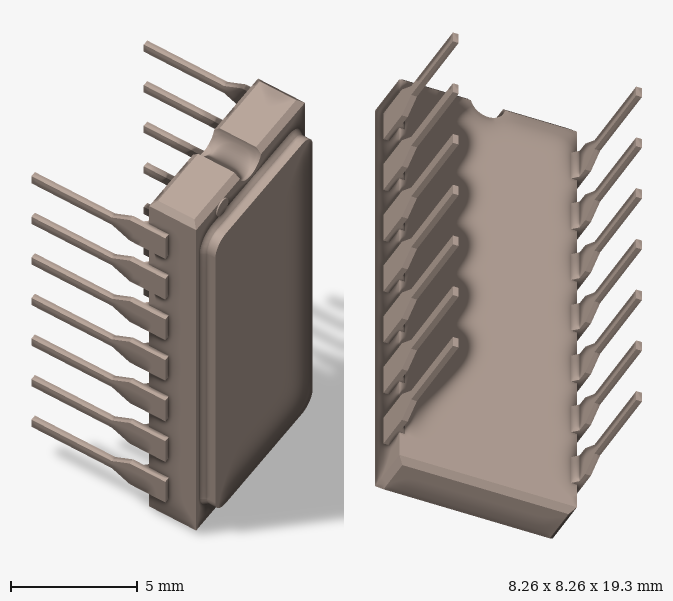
import cadquery as cq
import math


body_length = 19.3
body_thickness = 2.22
body_chamfer = 0.25
notch_radius = 0.77
notch_wall = 0.05

lead_count = 7
lead_pitch = 2.54
lead_span = 8.26
lead_thickness = 0.25
lead_tip_reach = 5.4
taper_start_reach = 1.6
taper_end_reach = 0.75
lead_overlap = 0.93
lead_wide = 1.3
lead_narrow = 0.45
gusset_leg = 0.25

lid_length = 16.87
lid_width = 6.93
lid_corner_radius = 0.75
lid_height = 0.64
seal_height = 0.23
seal_flare = 0.15

dot_diameter = 0.81
dot_height = 0.05
dot_y = -2.07

body_width = lead_span - 2 * lead_thickness
dot_z = body_length / 2 - body_chamfer - dot_diameter / 2


def make_body():
    """Block with chamfered ends and a round-bottomed notch through the thickness at the top."""
    block = (
        cq.Workplane("XY")
        .box(body_thickness, body_width, body_length)
        .translate((body_thickness / 2, 0, 0))
        .faces("<Z or >Z")
        .chamfer(body_chamfer)
    )
    arc_start_z = body_length / 2 - notch_wall
    notch = (
        cq.Workplane("YZ")
        .moveTo(-notch_radius, body_length / 2)
        .lineTo(-notch_radius, arc_start_z)
        .threePointArc((0, arc_start_z - notch_radius), (notch_radius, arc_start_z))
        .lineTo(notch_radius, body_length / 2)
        .close()
        .extrude(body_thickness)
    )
    return block.cut(notch)


def make_lead():
    """Flat lead on the -Y side at Z = 0, with a gusset in the corner against the body."""
    upper_edge = [
        (-lead_tip_reach, lead_narrow / 2),
        (-taper_start_reach, lead_narrow / 2),
        (-taper_end_reach, lead_wide / 2),
        (lead_overlap, lead_wide / 2),
    ]
    lower_edge = [(x, -z) for x, z in reversed(upper_edge)]
    blade = (
        cq.Workplane("XZ", origin=(0, -body_width / 2, 0))
        .polyline(upper_edge + lower_edge)
        .close()
        .extrude(lead_thickness)
    )
    gusset = (
        cq.Workplane("XY", origin=(0, -body_width / 2, -lead_wide / 2))
        .polyline([(0, 0), (-gusset_leg, 0), (0, gusset_leg)])
        .close()
        .extrude(lead_wide)
    )
    return blade.union(gusset)


def make_lid_plate(margin, height, taper):
    """Rounded plate on the +X body face, larger than the lid by margin all round at its foot."""
    outline = (
        cq.Sketch()
        .rect(lid_width + 2 * margin, lid_length + 2 * margin)
        .vertices()
        .fillet(lid_corner_radius + margin)
    )
    return (
        cq.Workplane("YZ", origin=(body_thickness, 0, 0))
        .placeSketch(outline)
        .extrude(height, taper=taper)
    )


def make_lid():
    """Straight-sided lid on a seal that flares out to the body face."""
    flare_angle = math.degrees(math.atan2(seal_flare, seal_height))
    lid = make_lid_plate(0, lid_height, 0)
    seal = make_lid_plate(seal_flare, seal_height, flare_angle)
    return lid.union(seal)


def make_dot():
    """Pin-one dot on the +X body face, beside the lid."""
    return (
        cq.Workplane("YZ", origin=(body_thickness, dot_y, dot_z))
        .circle(dot_diameter / 2)
        .extrude(dot_height)
    )


result = make_body().union(make_lid()).union(make_dot())

lead = make_lead()
for index in range(lead_count):
    lead_z = (index - (lead_count - 1) / 2) * lead_pitch
    placed_lead = lead.translate((0, 0, lead_z))
    result = result.union(placed_lead).union(placed_lead.mirror("XZ"))